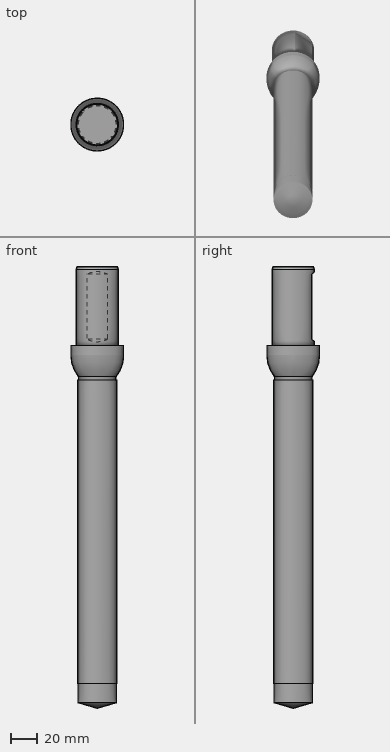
import cadquery as cq

TOTAL_LENGTH = 334.0

TIP_DIAMETER = 29.5
TIP_TOP = 18.7
POINT_HEIGHT = 4.5

BODY_DIAMETER = 29.7

NECK_DIAMETER = 28.5
NECK_BOTTOM = 248.0
NECK_TOP = 251.0
COLLAR_DIAMETER = 40.0
COLLAR_RIM_BOTTOM = 267.2
COLLAR_TOP = 274.5

SHANK_DIAMETER = 32.0
SHANK_CHAMFER_WIDTH = 0.7
SHANK_CHAMFER_HEIGHT = 2.0

FLAT_DEPTH = 2.0
FLAT_RAMP = 2.0
FLAT_BOTTOM = 277.2
FLAT_TOP = 330.3


def make_tip():
    """Cylindrical cutting tip with a shallow conical point."""
    radius = TIP_DIAMETER / 2
    return (
        cq.Workplane("XZ")
        .moveTo(0, 0)
        .lineTo(radius, POINT_HEIGHT)
        .lineTo(radius, TIP_TOP)
        .lineTo(0, TIP_TOP)
        .close()
        .revolve(360, (0, 0, 0), (0, 1, 0))
    )


def make_flat_cutter():
    """Prism that removes the clamping flat and its sloped ends."""
    outer_y = SHANK_DIAMETER / 2
    flat_y = outer_y - FLAT_DEPTH
    return (
        cq.Workplane("YZ")
        .polyline([
            (outer_y, FLAT_BOTTOM),
            (flat_y, FLAT_BOTTOM + FLAT_RAMP),
            (flat_y, FLAT_TOP - FLAT_RAMP),
            (outer_y, FLAT_TOP),
        ])
        .close()
        .extrude(SHANK_DIAMETER / 2, both=True)
    )


def make_holder():
    """Turned holder: long body, relief groove, flared collar and shank."""
    body_radius = BODY_DIAMETER / 2
    neck_radius = NECK_DIAMETER / 2
    collar_radius = COLLAR_DIAMETER / 2
    shank_radius = SHANK_DIAMETER / 2

    turned = (
        cq.Workplane("XZ")
        .moveTo(0, TOTAL_LENGTH)
        .lineTo(shank_radius - SHANK_CHAMFER_WIDTH, TOTAL_LENGTH)
        .lineTo(shank_radius, TOTAL_LENGTH - SHANK_CHAMFER_HEIGHT)
        .lineTo(shank_radius, COLLAR_TOP)
        .lineTo(collar_radius, COLLAR_TOP)
        .lineTo(collar_radius, COLLAR_RIM_BOTTOM)
        .tangentArcPoint((neck_radius, NECK_TOP), relative=False)
        .lineTo(neck_radius, NECK_BOTTOM)
        .lineTo(body_radius, NECK_BOTTOM)
        .lineTo(body_radius, TIP_TOP)
        .lineTo(0, TIP_TOP)
        .close()
        .revolve(360, (0, 0, 0), (0, 1, 0))
    )
    return turned.cut(make_flat_cutter())


tip = make_tip()
holder = make_holder()
result = cq.Compound.makeCompound([tip.val(), holder.val()])